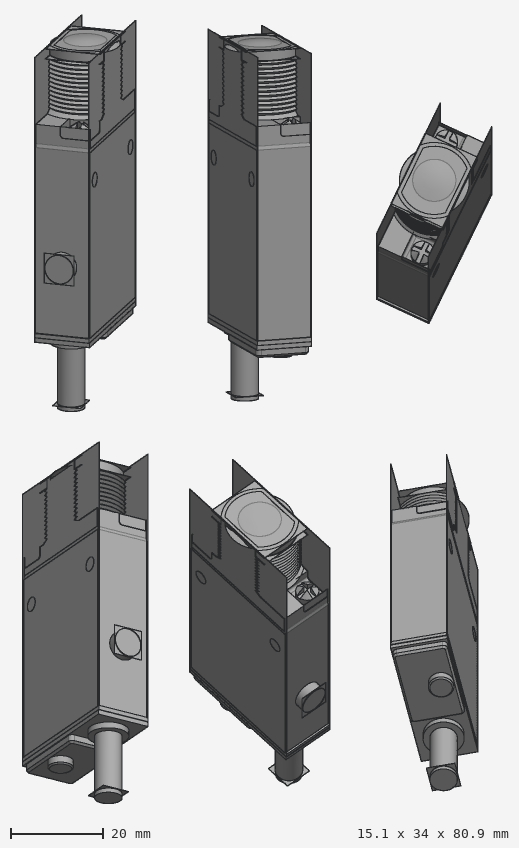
import cadquery as cq
import math

WIDTH = 12.5
DEPTH = 32.0

BASE_BOTTOM = 16.0
BASE_STEP = 17.1
BASE_TOP = 18.0
BASE_STEP_INSET = 0.2

CASE_TOP = 60.1
CASE_INSET = 0.5
HEAD_BASE = 60.9
HEAD_INSET = 0.7
DECK = 65.25
HEAD_DEPTH = DEPTH - 2 * HEAD_INSET
CASE_DEPTH = DEPTH - 2 * CASE_INSET

SIDE_RECESS = 0.1
SPOT_RADIUS = 1.6
SPOT_Y = 12.2
SPOT_Z = 53.05

SHEET = 0.1
SHEET_INSET = 0.1
CHEEK_TOP = 80.6

POCKET_FLOOR = 62.7
POCKET_WALL_X = 0.61
POCKET_START_Y = 8.65
POCKET_FILLET = 0.7
SCREW_X = 3.0
SCREW_Y = 12.2
SCREW_RADIUS = 2.5
SCREW_TIP_RADIUS = 0.8
SCREW_SHOULDER = 64.4
SCREW_TOP = 65.65
CROSS_WIDTH = 1.05
CROSS_FLOOR = 64.05

THREAD_RADIUS = 9.05
ROOT_RADIUS = 8.4
FLARE_RADIUS = 9.6
THREAD_BOTTOM = 66.1
THREAD_TOP = 78.1
THREAD_RIDGES = 12
NOSE_TOP = 80.4
NOSE_PLATE_DEPTH = 17.3

LENS_RADIUS = 15.1 / 2
LENS_WIDTH = 10.5
LENS_RISE = 1.3
LENS_TOP = 80.9

BUTTON_RADIUS = 3.2
BUTTON_HEIGHT = 1.95
BUTTON_LIP = 0.1
BUTTON_PLATE = 6.8
BUTTON_Z = 33.7

COVER_WIDTH = 12.05
COVER_MIN_Y = -3.9
COVER_MAX_Y = 15.3
COVER_BOTTOM = 14.15
COVER_CORNER = 1.0
COVER_CHAMFER = 0.5
DIAL_X = -2.75
DIAL_Y = 5.75
DIAL_RADIUS = 2.75
DIAL_BOTTOM = 12.3
DIAL_CHAMFER = 0.3
CABLE_Y = -9.6
CABLE_RADIUS = 3.0
COLLAR_RADIUS = 4.45
COLLAR_BOTTOM = 14.6
CABLE_PLATE = 6.3
CABLE_PLATE_Z = 1.0


def block(size_x, size_y, z_low, z_high, x=0, y=0):
    """Box centred on (x, y) between two heights."""
    height = z_high - z_low
    return cq.Workplane("XY", origin=(x, y, z_low)).box(size_x, size_y, height, centered=(True, True, False))


def rod(radius, z_low, z_high, x=0, y=0):
    """Upright cylinder between two heights."""
    return cq.Workplane("XY", origin=(x, y, z_low)).circle(radius).extrude(z_high - z_low)


def make_case():
    base_half = DEPTH / 2
    step_half = base_half - BASE_STEP_INSET
    case_half = CASE_DEPTH / 2
    head_half = HEAD_DEPTH / 2
    profile = [
        (step_half, BASE_BOTTOM), (step_half, BASE_STEP), (base_half, BASE_STEP), (base_half, BASE_TOP),
        (case_half, BASE_TOP), (case_half, CASE_TOP), (head_half, HEAD_BASE), (head_half, DECK),
    ]
    mirrored = [(-y, z) for y, z in reversed(profile)]
    case = cq.Workplane("YZ").polyline(profile + mirrored).close().extrude(WIDTH / 2, both=True)
    return case.cut(make_side_recesses())


def make_side_recesses():
    """Two bands and two round spots, sunk into both wide faces."""
    cutters = (
        cq.Workplane("YZ")
        .pushPoints([(-SPOT_Y, SPOT_Z), (SPOT_Y, SPOT_Z)])
        .circle(SPOT_RADIUS)
        .extrude(WIDTH / 2, both=True)
    )
    for low, high in ((BASE_STEP, BASE_TOP), (CASE_TOP, HEAD_BASE)):
        cutters = cutters.union(block(WIDTH, DEPTH, low, high))
    core = block(WIDTH - 2 * SIDE_RECESS, DEPTH, BASE_BOTTOM, DECK)
    return cutters.cut(core)


def make_pocket():
    """Open corner pocket at +X, -Y, rounded where its floor meets the walls."""
    size_x = WIDTH / 2 + POCKET_WALL_X
    size_y = HEAD_DEPTH / 2 - POCKET_START_Y
    pocket = block(
        size_x, size_y, POCKET_FLOOR, DECK,
        x=size_x / 2 - POCKET_WALL_X, y=-POCKET_START_Y - size_y / 2,
    )
    return pocket.edges("<Z").edges("<X or >Y").fillet(POCKET_FILLET)


def make_pocket_sheet():
    """Thin sheet that closes the -Y side of the pocket, slightly behind the head face."""
    size_x = WIDTH / 2 + POCKET_WALL_X
    y = -(HEAD_DEPTH / 2 - SHEET_INSET - SHEET / 2)
    return block(size_x, SHEET, POCKET_FLOOR, DECK, x=size_x / 2 - POCKET_WALL_X, y=y)


def make_screw():
    """Adjuster with a conical head and a cross recess."""
    profile = [
        (0, POCKET_FLOOR), (SCREW_RADIUS, POCKET_FLOOR), (SCREW_RADIUS, SCREW_SHOULDER),
        (SCREW_TIP_RADIUS, SCREW_TOP), (0, SCREW_TOP),
    ]
    screw = cq.Workplane("XZ").polyline(profile).close().revolve(360, (0, 0), (0, 1))
    screw = screw.cut(block(CROSS_WIDTH, 2 * SCREW_RADIUS, CROSS_FLOOR, SCREW_TOP))
    screw = screw.cut(block(2 * SCREW_RADIUS, CROSS_WIDTH, CROSS_FLOOR, SCREW_TOP))
    return screw.translate((SCREW_X, -SCREW_Y, 0))


def make_nose():
    """Ridged round nose with two flats, and a thin plate at each end of its cap."""
    pitch = (THREAD_TOP - THREAD_BOTTOM) / THREAD_RIDGES
    profile = [(0, DECK), (FLARE_RADIUS, DECK), (ROOT_RADIUS, THREAD_BOTTOM)]
    for ridge in range(THREAD_RIDGES):
        root = THREAD_BOTTOM + ridge * pitch
        profile.append((THREAD_RADIUS, root + pitch / 2))
        profile.append((ROOT_RADIUS, root + pitch))
    profile += [(ROOT_RADIUS, NOSE_TOP), (0, NOSE_TOP)]
    nose = cq.Workplane("XZ").polyline(profile).close().revolve(360, (0, 0), (0, 1))
    nose = nose.intersect(block(WIDTH, DEPTH, DECK, NOSE_TOP))
    for plate_top in (THREAD_TOP, NOSE_TOP):
        nose = nose.union(block(WIDTH, NOSE_PLATE_DEPTH, plate_top - SHEET, plate_top))
    return nose


def make_cheek(side):
    """Thin sheet that stands on the base and rises beside the nose on one X side."""
    x = side * (WIDTH / 2 - SHEET_INSET - SHEET / 2)
    return block(SHEET, DEPTH, BASE_TOP, CHEEK_TOP, x=x)


def make_button():
    face = cq.Workplane("XZ", origin=(0, -DEPTH / 2, BUTTON_Z))
    root = face.workplane(offset=-CASE_INSET)
    button = root.circle(BUTTON_RADIUS).extrude(CASE_INSET + BUTTON_HEIGHT)
    plate_start = BUTTON_HEIGHT - BUTTON_LIP - SHEET
    plate = face.workplane(offset=plate_start).rect(BUTTON_PLATE, BUTTON_PLATE).extrude(SHEET)
    return button.union(plate)


def make_cover():
    cover = block(
        COVER_WIDTH, COVER_MAX_Y - COVER_MIN_Y, COVER_BOTTOM, BASE_BOTTOM,
        y=(COVER_MAX_Y + COVER_MIN_Y) / 2,
    )
    cover = cover.edges("|Z").fillet(COVER_CORNER).faces("<Z").edges().chamfer(COVER_CHAMFER)
    dial = rod(DIAL_RADIUS, DIAL_BOTTOM, COVER_BOTTOM, DIAL_X, DIAL_Y)
    return cover.union(dial.faces("<Z").edges().chamfer(DIAL_CHAMFER))


def make_cable():
    cable = rod(CABLE_RADIUS, 0, BASE_BOTTOM, y=CABLE_Y)
    collar = rod(COLLAR_RADIUS, COLLAR_BOTTOM, BASE_BOTTOM, y=CABLE_Y)
    plate = block(CABLE_PLATE, CABLE_PLATE, CABLE_PLATE_Z, CABLE_PLATE_Z + SHEET, y=CABLE_Y)
    return cable.union(collar).union(plate)


def make_lens():
    """Spherical cap whose rim passes through the nose flats, on a flat-sided seat."""
    rim = LENS_TOP - LENS_RISE
    ball_radius = (LENS_RADIUS ** 2 + LENS_RISE ** 2) / (2 * LENS_RISE)
    half_angle = math.asin(LENS_RADIUS / ball_radius) / 2
    arc_middle = (
        ball_radius * math.sin(half_angle),
        LENS_TOP - ball_radius * (1 - math.cos(half_angle)),
    )
    cap = (
        cq.Workplane("XZ")
        .moveTo(0, rim)
        .lineTo(LENS_RADIUS, rim)
        .threePointArc(arc_middle, (0, LENS_TOP))
        .close()
        .revolve(360, (0, 0), (0, 1))
    )
    seat = rod(LENS_RADIUS, rim, NOSE_TOP).intersect(block(LENS_WIDTH, DEPTH, rim, NOSE_TOP))
    return cap.union(seat)


def make_housing(lens):
    housing = make_case()
    for turn in (0, 180):
        housing = housing.cut(make_pocket().rotate((0, 0, 0), (0, 0, 1), turn))
        for piece in (make_pocket_sheet(), make_screw()):
            housing = housing.union(piece.rotate((0, 0, 0), (0, 0, 1), turn))
    housing = housing.union(make_nose())
    for side in (-1, 1):
        housing = housing.union(make_cheek(side))
    for piece in (make_button(), make_cover(), make_cable()):
        housing = housing.union(piece)
    return housing.cut(lens)


lens = make_lens()
housing = make_housing(lens)
result = cq.Compound.makeCompound([housing.val(), lens.val()])